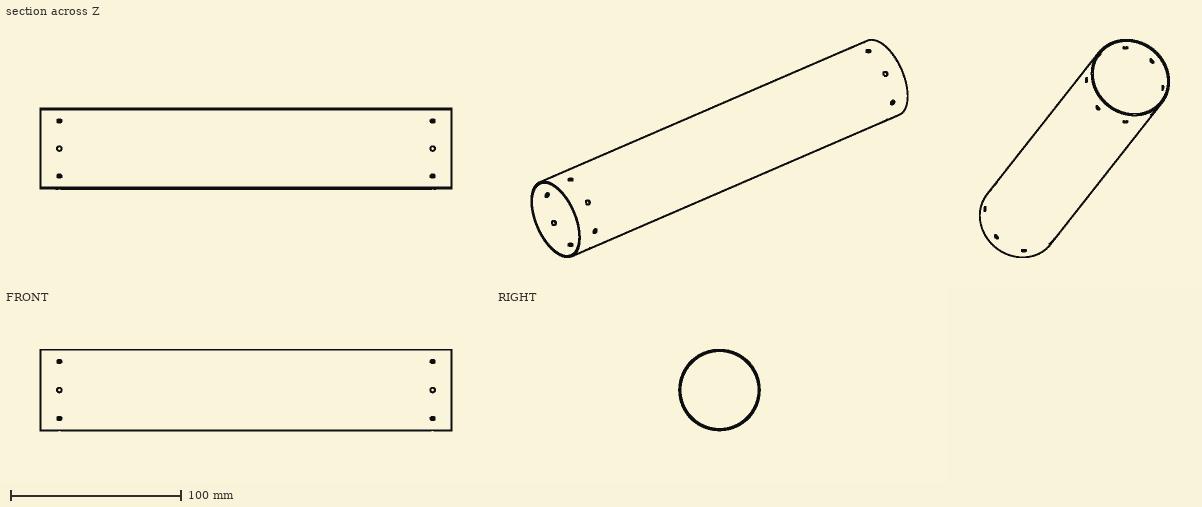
import cadquery as cq

length = 241.3
outer_diameter = 47.5
wall = 1.0

hole_diameter = 2.7
hole_end_distance = 11.0
holes_per_ring = 8

inner_diameter = outer_diameter - 2 * wall
hole_offset = length / 2 - hole_end_distance


def make_tube():
    return (
        cq.Workplane("YZ")
        .circle(outer_diameter / 2)
        .circle(inner_diameter / 2)
        .extrude(length / 2, both=True)
    )


def cross_drill(x, angle):
    """Drill through both walls at position x, turned about the tube axis."""
    return (
        cq.Workplane("XY")
        .center(x, 0)
        .circle(hole_diameter / 2)
        .extrude(outer_diameter, both=True)
        .rotate((0, 0, 0), (1, 0, 0), angle)
    )


result = make_tube()
for x in (-hole_offset, hole_offset):
    for i in range(holes_per_ring // 2):
        result = result.cut(cross_drill(x, i * 360 / holes_per_ring))